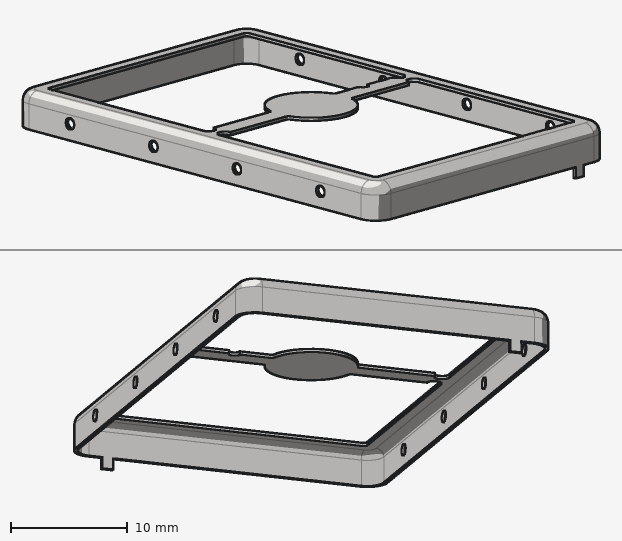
import cadquery as cq

length = 43.4
width = 28.4
wall_height = 3.3
sheet = 0.3
corner_radius = 1.8
bend_radius = 1.0
flange_reach = 2.0
window_corner_radius = 0.3

tab_width = 1.0
tab_height = 1.0
tab_overlap = 0.3
tab_offset = 10.7
tab_places = [(1, tab_offset), (-1, -tab_offset)]

hole_diameter = 1.0
hole_pitch = 10.0
hole_count = 4
hole_height = 1.5

pad_diameter = 8.0
pad_blend_radius = 0.3
bar_width = 2.0
neck_width = 0.7
edge_notch_diameter = 1.0
edge_notch_y = 7.35

window_length = length - 2 * flange_reach
window_width = width - 2 * flange_reach
plate_bottom = wall_height - sheet


def rounded_block(size_x, size_y, height, radius):
    """Block standing on the XY plane with rounded vertical edges."""
    block = cq.Workplane("XY").box(size_x, size_y, height, centered=(True, True, False))
    return block.edges("|Z").fillet(radius)


def make_rim():
    """Constant-thickness shell, open below, with a window in its top face."""
    outer = rounded_block(length, width, wall_height, corner_radius)
    outer = outer.faces(">Z").edges().fillet(bend_radius)
    inner = rounded_block(length - 2 * sheet, width - 2 * sheet, plate_bottom, corner_radius - sheet)
    inner = inner.faces(">Z").edges().fillet(bend_radius - sheet)
    window = rounded_block(window_length, window_width, wall_height, window_corner_radius)
    return outer.cut(inner).cut(window)


def plate_disc(x, y, diameter):
    """Disc as thick as the sheet, level with the top flange."""
    return cq.Workplane("XY", origin=(x, y, plate_bottom)).circle(diameter / 2).extrude(sheet)


def make_pad_and_bar():
    """Round pad on a bar that narrows to a neck at each end."""
    bar_length = window_width + flange_reach
    bar = cq.Workplane("XY", origin=(0, 0, plate_bottom)).rect(bar_width, bar_length).extrude(sheet)
    plate = bar.union(plate_disc(0, 0, pad_diameter))

    junctions = cq.selectors.BoxSelector(
        (-bar_width, -pad_diameter / 2, 0),
        (bar_width, pad_diameter / 2, wall_height),
    )
    plate = plate.edges("|Z").edges(junctions).fillet(pad_blend_radius)

    notch_radius = (bar_width - neck_width) / 2
    notch_y = window_width / 2 - notch_radius
    for x_side in (-1, 1):
        for y_side in (-1, 1):
            notch = plate_disc(x_side * bar_width / 2, y_side * notch_y, 2 * notch_radius)
            plate = plate.cut(notch)

    return plate.cut(plate_disc(-bar_width / 2, edge_notch_y, edge_notch_diameter))


def make_tabs():
    """Tabs that continue the short walls downward."""
    tab_x = (length - sheet) / 2
    tab_centers = [(side * tab_x, y) for side, y in tab_places]
    return (
        cq.Workplane("XY", origin=(0, 0, -tab_height))
        .pushPoints(tab_centers)
        .rect(sheet, tab_width)
        .extrude(tab_height + tab_overlap)
    )


def make_wall_holes():
    """Row of pins spanning the full width, piercing both long walls."""
    return (
        cq.Workplane("XZ", origin=(0, 0, hole_height))
        .rarray(hole_pitch, 1, hole_count, 1)
        .circle(hole_diameter / 2)
        .extrude(width, both=True)
    )


result = make_rim().union(make_pad_and_bar()).union(make_tabs()).cut(make_wall_holes())